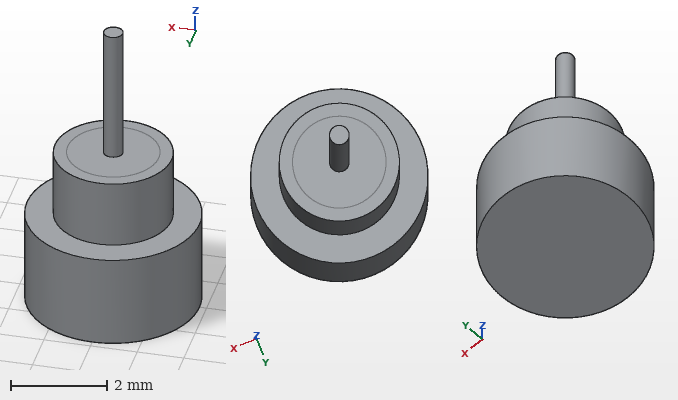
import cadquery as cq

total_height = 6.5
base_diameter = 3.7
base_height = 2.05
collar_diameter = 2.5
collar_height = 1.5
seal_diameter = 1.95
pin_diameter = 0.41

collar_top = base_height + collar_height
pin_height = total_height - collar_top


def cylinder(diameter, height, bottom):
    """Upright cylinder on the Z axis, starting at the given level."""
    return cq.Workplane("XY").workplane(offset=bottom).circle(diameter / 2).extrude(height)


base = cylinder(base_diameter, base_height, 0)
collar = cylinder(collar_diameter, collar_height, base_height)

seal = cylinder(seal_diameter, collar_height, base_height)
pin = cylinder(pin_diameter, pin_height, collar_top)

body = base.union(collar.cut(seal), clean=False)
result = body.union(seal, clean=False).union(pin, clean=False)